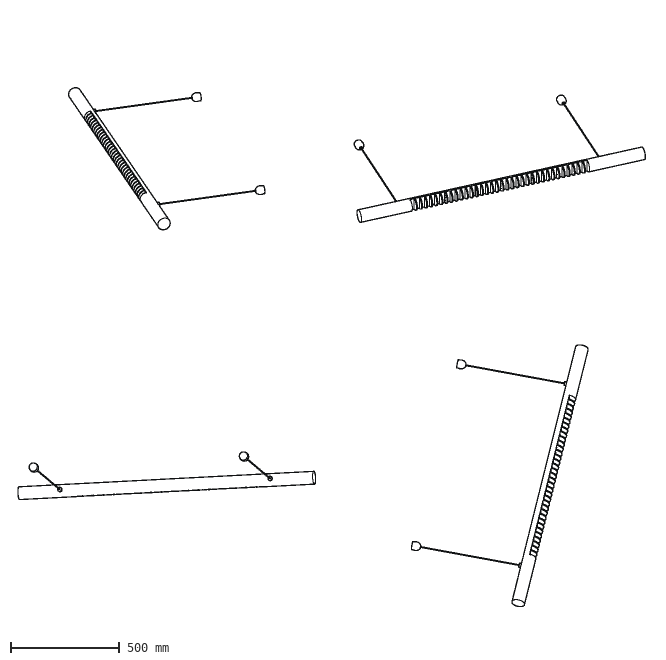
import cadquery as cq

tube_length = 1395.0
tube_diameter = 60.0
tube_radius = tube_diameter / 2

left_end_length = 250.0
right_end_length = 275.0
fin_count = 34
fin_thickness = 4.9
gap_count = fin_count + 1
fin_row_length = tube_length - left_end_length - right_end_length
fin_gap = (fin_row_length - fin_count * fin_thickness) / gap_count
fin_pitch = fin_thickness + fin_gap

overall_depth = 570.0
rod_spacing = 995.0
rod_diameter = 4.0
collar_diameter = 20.0
collar_projection = 8.0
canopy_radius = 20.0
canopy_base_thickness = 8.0
canopy_height = 39.0
dome_shoulder_radius = 20.0
dome_shoulder_depth = 25.0
dome_tip_radius = 7.0
ceiling_y = overall_depth - tube_radius


def cylinder_along_y(diameter, x, y_start, y_end):
    """Round bar parallel to Y at height Z = 0."""
    plane = cq.Plane(origin=(x, y_start, 0), xDir=(1, 0, 0), normal=(0, 1, 0))
    return cq.Workplane(plane).circle(diameter / 2).extrude(y_end - y_start)


def make_tube():
    return cq.Workplane("YZ").circle(tube_radius).extrude(tube_length / 2, both=True)


def make_fin_gaps():
    """Slots between the fins, reaching from the front to the tube's mid plane."""
    first_gap_x = -tube_length / 2 + left_end_length
    gap_centers = [
        (first_gap_x + fin_gap / 2 + i * fin_pitch, -tube_radius / 2)
        for i in range(gap_count)
    ]
    return (
        cq.Workplane("XY")
        .pushPoints(gap_centers)
        .rect(fin_gap, tube_radius)
        .extrude(tube_radius, both=True)
    )


def make_canopy(x):
    """Turned body on the rod axis: a straight rim at the ceiling, then a rounded dome."""
    shoulder = (dome_shoulder_radius, ceiling_y - dome_shoulder_depth)
    tip = (dome_tip_radius, ceiling_y - canopy_height)
    return (
        cq.Workplane("XY")
        .moveTo(0, ceiling_y)
        .lineTo(canopy_radius, ceiling_y)
        .lineTo(canopy_radius, ceiling_y - canopy_base_thickness)
        .threePointArc(shoulder, tip)
        .lineTo(0, ceiling_y - canopy_height)
        .close()
        .revolve(360, (0, 0, 0), (0, 1, 0))
        .translate((x, 0, 0))
    )


def make_suspension(x):
    collar = cylinder_along_y(collar_diameter, x, 0, tube_radius + collar_projection)
    rod = cylinder_along_y(rod_diameter, x, 0, ceiling_y)
    return collar.union(rod).union(make_canopy(x))


result = make_tube().cut(make_fin_gaps())
for rod_x in (-rod_spacing / 2, rod_spacing / 2):
    result = result.union(make_suspension(rod_x))